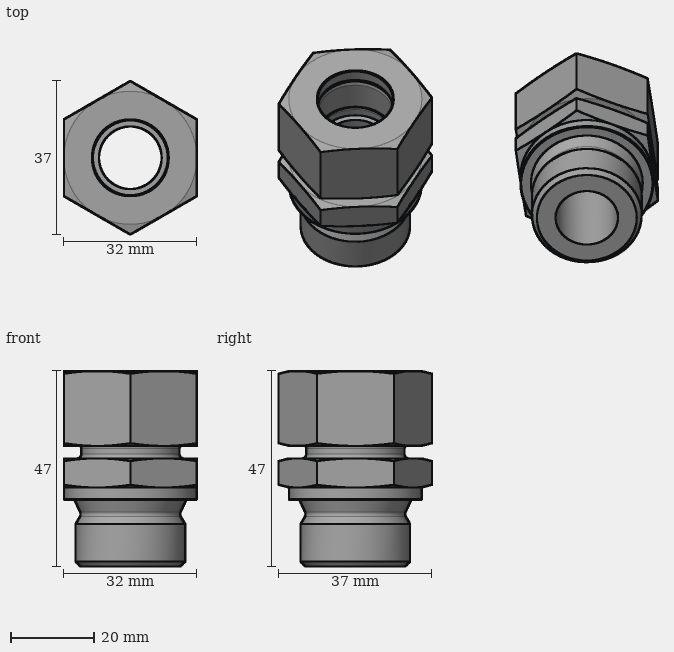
import cadquery as cq
import math

TOTAL_HEIGHT = 47.0
NUT_LENGTH = 18.0
NUT_BOTTOM = TOTAL_HEIGHT - NUT_LENGTH
FLANGE_BOTTOM = 16.0
FLANGE_TOP = 19.0
BODY_HEX_TOP = 26.0
BODY_TOP = 38.5
TUBE_STOP = 31.0

ACROSS_FLATS = 32.0
FLAT_RADIUS = ACROSS_FLATS / 2
CORNER_RADIUS = FLAT_RADIUS / math.cos(math.radians(30))
HEX_CHAMFER_ANGLE = 15.0
CORNER_DROP = (CORNER_RADIUS - FLAT_RADIUS) * math.tan(math.radians(HEX_CHAMFER_ANGLE))

STUD_RADIUS = 26.41 / 2
STUD_CHAMFER = 1.2
FLANGE_RADIUS = ACROSS_FLATS / 2
FLANGE_CHAMFER = 0.2

GROOVE_RADIUS = 12.0
GROOVE_ROOT_Z = 12.6
GROOVE_FILLET = 1.25
GROOVE_LOWER_ANGLE = 30.0
GROOVE_UPPER_ANGLE = 25.0

THREAD_RADIUS = 26.0 / 2
UNDERCUT_RADIUS = 23.7 / 2
UNDERCUT_LOWER_FILLET = 1.0
UNDERCUT_UPPER_FILLET = 0.8
UNDERCUT_TOP = 28.4
UNDERCUT_EXIT_ANGLE = 30.0

TUBE_RADIUS = 18.0 / 2
BORE_RADIUS = 15.0 / 2
MOUTH_RADIUS = 20.3 / 2
SEAT_HALF_ANGLE = 12.0
SEAT_SLOPE = math.tan(math.radians(SEAT_HALF_ANGLE))
SEAT_BOTTOM = BODY_TOP - (MOUTH_RADIUS - TUBE_RADIUS) / SEAT_SLOPE

NUT_HOLE_RADIUS = 18.1 / 2
NUT_HOLE_CHAMFER = 0.2
NUT_HOLE_DEPTH = 3.4
NUT_CONE_TOP = TOTAL_HEIGHT - NUT_HOLE_DEPTH

RING_RADIUS = 23.0 / 2
RING_TOP_RADIUS = 9.75
RING_LEAD_RADIUS = 9.3
RING_LEAD_DEPTH = 1.0
RING_BOTTOM = 33.9


def nut_cone_z(radius):
    """Height of the nut's 45 degree cone at a radius."""
    return NUT_CONE_TOP - (radius - NUT_HOLE_RADIUS)


def arc_point(center_r, center_z, arc_radius, angle):
    """Point on the inward side of an arc; the angle is measured upward from the horizontal."""
    turn = math.radians(angle)
    return center_r - arc_radius * math.cos(turn), center_z + arc_radius * math.sin(turn)


def revolve_profile(profile):
    return profile.close().revolve(360, (0, 0, 0), (0, 1, 0))


def chamfered_hex(bottom, top):
    """Hexagonal prism with corners up and down Y, its corners turned off at both ends."""
    prism = (
        cq.Workplane("XY")
        .workplane(offset=bottom)
        .polygon(6, 2 * CORNER_RADIUS)
        .extrude(top - bottom)
        .rotate((0, 0, 0), (0, 0, 1), 30)
    )
    turned_envelope = revolve_profile(
        cq.Workplane("XZ")
        .moveTo(0, bottom)
        .lineTo(FLAT_RADIUS, bottom)
        .lineTo(CORNER_RADIUS, bottom + CORNER_DROP)
        .lineTo(CORNER_RADIUS, top - CORNER_DROP)
        .lineTo(FLAT_RADIUS, top)
        .lineTo(0, top)
    )
    return prism.intersect(turned_envelope)


def make_stud():
    """Stud thread, rounded groove and flange, up to the underside of the body hexagon."""
    center_r = GROOVE_RADIUS + GROOVE_FILLET
    lower = arc_point(center_r, GROOVE_ROOT_Z, GROOVE_FILLET, -GROOVE_LOWER_ANGLE)
    upper = arc_point(center_r, GROOVE_ROOT_Z, GROOVE_FILLET, GROOVE_UPPER_ANGLE)
    thread_end = lower[1] - (STUD_RADIUS - lower[0]) / math.tan(math.radians(GROOVE_LOWER_ANGLE))
    groove_top_radius = upper[0] + (FLANGE_BOTTOM - upper[1]) * math.tan(math.radians(GROOVE_UPPER_ANGLE))
    return revolve_profile(
        cq.Workplane("XZ")
        .moveTo(0, 0)
        .lineTo(STUD_RADIUS - STUD_CHAMFER, 0)
        .lineTo(STUD_RADIUS, STUD_CHAMFER)
        .lineTo(STUD_RADIUS, thread_end)
        .lineTo(*lower)
        .threePointArc((GROOVE_RADIUS, GROOVE_ROOT_Z), upper)
        .lineTo(groove_top_radius, FLANGE_BOTTOM)
        .lineTo(FLANGE_RADIUS - FLANGE_CHAMFER, FLANGE_BOTTOM)
        .lineTo(FLANGE_RADIUS, FLANGE_BOTTOM + FLANGE_CHAMFER)
        .lineTo(FLANGE_RADIUS, FLANGE_TOP)
        .lineTo(0, FLANGE_TOP)
    )


def make_threaded_neck():
    """Undercut above the body hexagon and the thread that carries the nut."""
    lower_center = (UNDERCUT_RADIUS + UNDERCUT_LOWER_FILLET, BODY_HEX_TOP + UNDERCUT_LOWER_FILLET)
    upper_center = (UNDERCUT_RADIUS + UNDERCUT_UPPER_FILLET, UNDERCUT_TOP)
    lower_middle = arc_point(*lower_center, UNDERCUT_LOWER_FILLET, -45)
    upper_middle = arc_point(*upper_center, UNDERCUT_UPPER_FILLET, UNDERCUT_EXIT_ANGLE / 2)
    upper_end = arc_point(*upper_center, UNDERCUT_UPPER_FILLET, UNDERCUT_EXIT_ANGLE)
    exit_slope = math.tan(math.radians(UNDERCUT_EXIT_ANGLE))
    thread_start = upper_end[1] + (THREAD_RADIUS - upper_end[0]) / exit_slope
    return revolve_profile(
        cq.Workplane("XZ")
        .moveTo(0, BODY_HEX_TOP)
        .lineTo(lower_center[0], BODY_HEX_TOP)
        .threePointArc(lower_middle, (UNDERCUT_RADIUS, lower_center[1]))
        .lineTo(UNDERCUT_RADIUS, UNDERCUT_TOP)
        .threePointArc(upper_middle, upper_end)
        .lineTo(THREAD_RADIUS, thread_start)
        .lineTo(THREAD_RADIUS, BODY_TOP)
        .lineTo(0, BODY_TOP)
    )


def make_body_bore():
    """Through bore, tube socket and the conical seat at the mouth."""
    return revolve_profile(
        cq.Workplane("XZ")
        .moveTo(0, 0)
        .lineTo(BORE_RADIUS, 0)
        .lineTo(BORE_RADIUS, TUBE_STOP)
        .lineTo(TUBE_RADIUS, TUBE_STOP)
        .lineTo(TUBE_RADIUS, SEAT_BOTTOM)
        .lineTo(MOUTH_RADIUS, BODY_TOP)
        .lineTo(0, BODY_TOP)
    )


def make_body():
    body_hex = chamfered_hex(FLANGE_TOP, BODY_HEX_TOP)
    return make_stud().union(body_hex).union(make_threaded_neck()).cut(make_body_bore())


def make_nut():
    opening = revolve_profile(
        cq.Workplane("XZ")
        .moveTo(0, NUT_BOTTOM)
        .lineTo(THREAD_RADIUS, NUT_BOTTOM)
        .lineTo(THREAD_RADIUS, nut_cone_z(THREAD_RADIUS))
        .lineTo(NUT_HOLE_RADIUS, NUT_CONE_TOP)
        .lineTo(NUT_HOLE_RADIUS, TOTAL_HEIGHT - NUT_HOLE_CHAMFER)
        .lineTo(NUT_HOLE_RADIUS + NUT_HOLE_CHAMFER, TOTAL_HEIGHT)
        .lineTo(0, TOTAL_HEIGHT)
    )
    return chamfered_hex(NUT_BOTTOM, TOTAL_HEIGHT).cut(opening)


def make_cutting_ring():
    """Ring that sits in the body's conical seat, with its collar against the nut's cone."""
    ring_top = nut_cone_z(RING_TOP_RADIUS)
    tip_radius = TUBE_RADIUS + (RING_BOTTOM - SEAT_BOTTOM) * SEAT_SLOPE
    return revolve_profile(
        cq.Workplane("XZ")
        .moveTo(TUBE_RADIUS, RING_BOTTOM)
        .lineTo(tip_radius, RING_BOTTOM)
        .lineTo(MOUTH_RADIUS, BODY_TOP)
        .lineTo(RING_RADIUS, BODY_TOP)
        .lineTo(RING_RADIUS, nut_cone_z(RING_RADIUS))
        .lineTo(RING_TOP_RADIUS, ring_top)
        .lineTo(RING_LEAD_RADIUS, ring_top)
        .lineTo(TUBE_RADIUS, ring_top - RING_LEAD_DEPTH)
    )


body = make_body()
nut = make_nut()
cutting_ring = make_cutting_ring()

result = cq.Compound.makeCompound([body.val(), nut.val(), cutting_ring.val()])